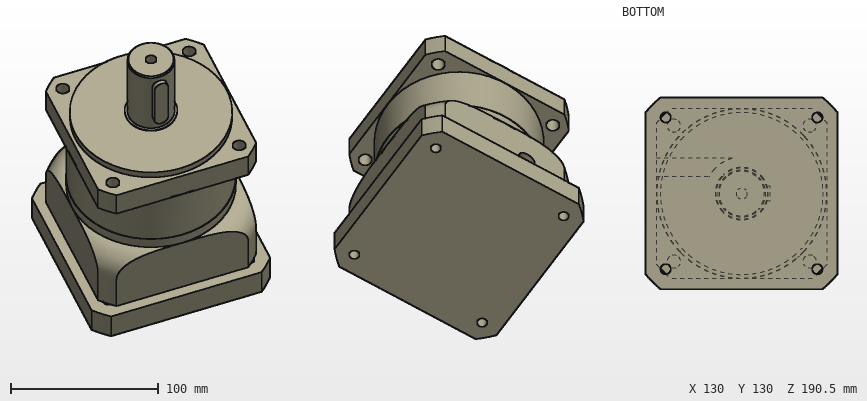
import cadquery as cq
import math

base_width = 130.0
base_corner_diameter = 170.0
body_width = 115.0
body_corner_diameter = 149.7

base_top = 20.0
shoulder_start = 47.0
ring_top = 72.5
flange_bottom = 113.5
flange_top = 132.2
pilot_top = 137.4
collar_top = 138.7
shaft_top = 190.5

ring_diameter = body_width
barrel_diameter = 114.7
pilot_diameter = 110.0
collar_top_diameter = 35.8
collar_bottom_diameter = 34.7
shaft_diameter = 32.0
shaft_chamfer_height = 1.1
shaft_chamfer_width = 0.8

shoulder_radius = (body_corner_diameter - body_width) / 2
shoulder_top = shoulder_start + shoulder_radius

key_width = 10.0
key_bottom = 145.5
key_top = 185.5
key_inner_x = 10.0
key_outer_x = 19.0

centre_hole_diameter = 7.5
centre_hole_depth = 19.0
drill_tip_angle = 118

flange_hole_diameter = 9.0
flange_bolt_circle = 130.0
base_hole_diameter = 6.9
base_bolt_circle = 145.0

access_hole_diameter = 12.5
access_hole_y = -18.0
access_hole_z = 34.5
hub_diameter = 49.5


def cylinder(diameter, bottom, top):
    return cq.Workplane("XY").workplane(offset=bottom).circle(diameter / 2).extrude(top - bottom)


def turned_square(width, corner_diameter, bottom, top):
    square = cq.Workplane("XY").workplane(offset=bottom).rect(width, width).extrude(top - bottom)
    return square.intersect(cylinder(corner_diameter, bottom, top))


def corner_holes(diameter, bolt_circle, bottom, top):
    return (
        cq.Workplane("XY").workplane(offset=bottom)
        .polarArray(bolt_circle / 2, 45, 360, 4)
        .circle(diameter / 2)
        .extrude(top - bottom)
    )


def make_housing():
    corner_radius = body_corner_diameter / 2
    arc_shift = shoulder_radius * math.sqrt(0.5)
    turned = (
        cq.Workplane("XZ")
        .moveTo(0, base_top)
        .lineTo(corner_radius, base_top)
        .lineTo(corner_radius, shoulder_start)
        .threePointArc(
            (body_width / 2 + arc_shift, shoulder_start + arc_shift),
            (body_width / 2, shoulder_top),
        )
        .lineTo(0, shoulder_top)
        .close()
        .revolve(360, (0, 0, 0), (0, 1, 0))
    )
    square = cq.Workplane("XY").rect(body_width, body_width).extrude(shoulder_top)
    return turned.intersect(square)


def make_shaft():
    shaft_radius = shaft_diameter / 2
    return (
        cq.Workplane("XZ")
        .moveTo(0, pilot_top)
        .lineTo(collar_bottom_diameter / 2, pilot_top)
        .lineTo(collar_top_diameter / 2, collar_top)
        .lineTo(shaft_radius, collar_top)
        .lineTo(shaft_radius, shaft_top - shaft_chamfer_height)
        .lineTo(shaft_radius - shaft_chamfer_width, shaft_top)
        .lineTo(0, shaft_top)
        .close()
        .revolve(360, (0, 0, 0), (0, 1, 0))
    )


def make_key():
    return (
        cq.Workplane("YZ").workplane(offset=key_inner_x)
        .center(0, (key_bottom + key_top) / 2)
        .slot2D(key_top - key_bottom, key_width, 90)
        .extrude(key_outer_x - key_inner_x)
    )


def make_centre_hole():
    radius = centre_hole_diameter / 2
    tip_length = radius / math.tan(math.radians(drill_tip_angle / 2))
    tip_start = shaft_top - centre_hole_depth
    return (
        cq.Workplane("XZ")
        .moveTo(0, shaft_top)
        .lineTo(radius, shaft_top)
        .lineTo(radius, tip_start)
        .lineTo(0, tip_start - tip_length)
        .close()
        .revolve(360, (0, 0, 0), (0, 1, 0))
    )


def make_access_hole():
    return (
        cq.Workplane("YZ")
        .center(access_hole_y, access_hole_z)
        .circle(access_hole_diameter / 2)
        .extrude(-body_width / 2)
        .cut(cylinder(hub_diameter, base_top, shoulder_top))
    )


base = turned_square(base_width, base_corner_diameter, 0, base_top)
flange = turned_square(body_width, body_corner_diameter, flange_bottom, flange_top)

result = (
    base.union(make_housing())
    .union(cylinder(ring_diameter, shoulder_top, ring_top))
    .union(cylinder(barrel_diameter, ring_top, flange_bottom))
    .union(flange)
    .union(cylinder(pilot_diameter, flange_top, pilot_top))
    .union(make_shaft())
    .union(make_key())
    .cut(make_centre_hole())
    .cut(corner_holes(flange_hole_diameter, flange_bolt_circle, flange_bottom, flange_top))
    .cut(corner_holes(base_hole_diameter, base_bolt_circle, 0, base_top))
    .cut(make_access_hole())
)